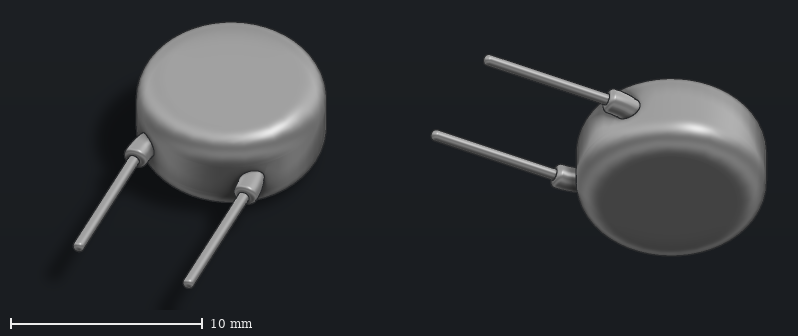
import cadquery as cq
import math

body_diameter = 9.96
body_height = 5.08
body_edge_radius = 1.524

lead_pitch = 6.32
lead_diameter = 0.62
lead_tip_radius = 0.25
overall_length = 17.35

sleeve_diameter = 1.31
sleeve_end_length = 0.25
sleeve_end_radius = 0.249
sleeve_projection = 0.28
sleeve_bend_radius = 3.4
sleeve_bend_angle = 45

body_radius = body_diameter / 2
lead_x = lead_pitch / 2
lead_tip_y = body_radius - overall_length
sleeve_end_y = -body_radius - sleeve_projection
bend_start_y = sleeve_end_y + sleeve_end_length


def make_body():
    disc = cq.Workplane("XY").cylinder(body_height, body_radius)
    return disc.edges("%CIRCLE").fillet(body_edge_radius)


def rod_along_y(diameter, start_y, end_y, end_radius):
    """Right-hand round rod from start_y down to end_y, with its far rim rounded."""
    plane = cq.Plane(origin=(lead_x, start_y, 0), xDir=(1, 0, 0), normal=(0, -1, 0))
    rod = cq.Workplane(plane).circle(diameter / 2).extrude(start_y - end_y)
    return rod.faces("<Y").edges().fillet(end_radius)


def make_sleeve():
    """Right-hand sleeve: a curved part rooted in the body and a short rounded end."""
    angle = math.radians(sleeve_bend_angle)
    bend_centre_x = lead_x - sleeve_bend_radius

    def bend_point(turn):
        return (
            bend_centre_x + sleeve_bend_radius * math.cos(turn),
            bend_start_y + sleeve_bend_radius * math.sin(turn),
        )

    path = (
        cq.Workplane("XY")
        .moveTo(lead_x, bend_start_y)
        .threePointArc(bend_point(angle / 2), bend_point(angle))
    )
    section = cq.Workplane("XZ", origin=(lead_x, bend_start_y, 0)).circle(sleeve_diameter / 2)
    bend = section.sweep(path)
    rounded_end = rod_along_y(sleeve_diameter, bend_start_y, sleeve_end_y, sleeve_end_radius)
    return bend.union(rounded_end)


def make_terminal():
    lead = rod_along_y(lead_diameter, bend_start_y, lead_tip_y, lead_tip_radius)
    return make_sleeve().union(lead)


terminal = make_terminal()
result = make_body().union(terminal).union(terminal.mirror("YZ"))